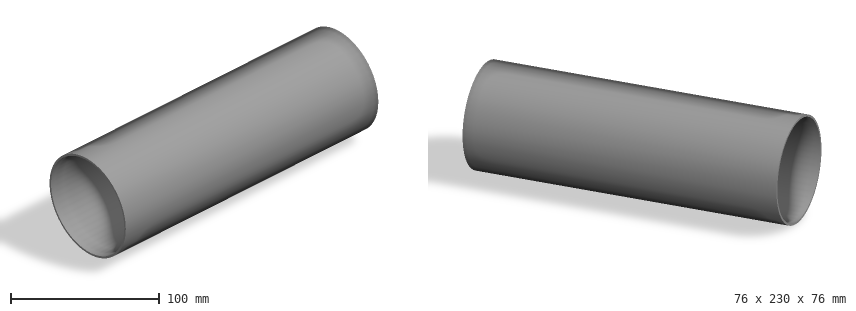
import cadquery as cq

length = 230.0
outer_diameter = 76.0
wall = 1.5

outer_radius = outer_diameter / 2
inner_radius = outer_radius - wall

result = (
    cq.Workplane("XZ", origin=(0, length / 2, 0))
    .circle(outer_radius)
    .circle(inner_radius)
    .extrude(length)
)